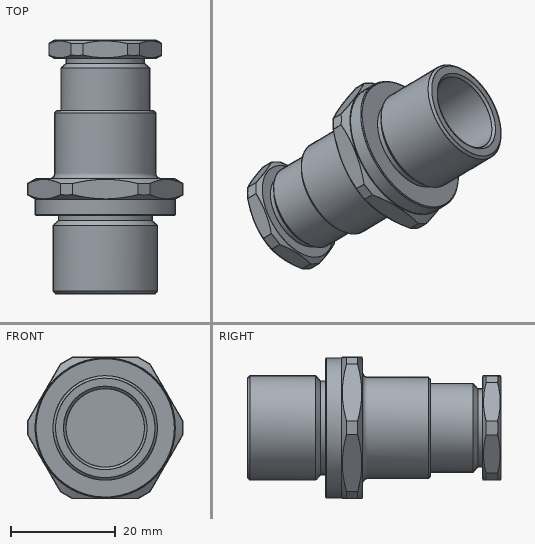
import cadquery as cq
import math

total_length = 48.5
thread_length = 13.05
thread_relief_end = 14.95
flange_end = 18.0
hex_end = 22.0
body_end = 35.0
rear_thread_end = 43.1
nut_start = 44.95
relief_cone = 0.9

thread_diameter = 20.0
thread_neck_diameter = 18.0
flange_diameter = 26.8
body_diameter = 19.4
rear_thread_diameter = 17.0
rear_neck_diameter = 15.0
bore_diameter = 15.0
bore_depth = hex_end

end_chamfer = 0.5
body_chamfer = 0.45
flange_chamfer = 0.2
body_flare = 0.95

hex_flats = 27.0
hex_corners = 29.7
hex_face_diameter = 26.5
nut_flats = 20.0
nut_corners = 21.55
nut_face_diameter = 19.4
hex_chamfer_angle = math.radians(30)


def hexagon_prism(flats, start, end):
    """Hexagon with flats facing +Z and -Z."""
    plane = cq.Workplane("XZ", origin=(0, start, 0))
    return plane.polygon(6, flats / math.cos(math.pi / 6)).extrude(start - end)


def chamfered_hexagon(flats, corners, face_diameter, start, end):
    """Hexagon with flattened corners and conical chamfers at both ends."""
    corner_cutter = hexagon_prism(corners, start, end).rotate((0, 0, 0), (0, 1, 0), 30)
    face_radius = face_diameter / 2
    outer_radius = flats / math.sqrt(3)
    drop = (outer_radius - face_radius) * math.tan(hex_chamfer_angle)
    cone_envelope = (
        cq.Workplane("XY")
        .moveTo(0, start)
        .lineTo(face_radius, start)
        .lineTo(outer_radius, start + drop)
        .lineTo(outer_radius, end - drop)
        .lineTo(face_radius, end)
        .lineTo(0, end)
        .close()
        .revolve(360, (0, 0, 0), (0, 1, 0))
    )
    return hexagon_prism(flats, start, end).intersect(corner_cutter).intersect(cone_envelope)


def turned_body():
    """All round sections, revolved as one profile about the Y axis."""
    thread = thread_diameter / 2
    neck = thread_neck_diameter / 2
    flange = flange_diameter / 2
    body = body_diameter / 2
    rear = rear_thread_diameter / 2
    rear_neck = rear_neck_diameter / 2
    arc_offset = body_flare * (1 - math.sqrt(0.5))
    return (
        cq.Workplane("XY")
        .moveTo(0, 0)
        .lineTo(thread - end_chamfer, 0)
        .lineTo(thread, end_chamfer)
        .lineTo(thread, thread_length)
        .lineTo(neck, thread_length + relief_cone)
        .lineTo(neck, thread_relief_end)
        .lineTo(flange - flange_chamfer, thread_relief_end)
        .lineTo(flange, thread_relief_end + flange_chamfer)
        .lineTo(flange, flange_end)
        .lineTo(body + body_flare, flange_end)
        .lineTo(body + body_flare, hex_end)
        .threePointArc((body + arc_offset, hex_end + arc_offset), (body, hex_end + body_flare))
        .lineTo(body, body_end - body_chamfer)
        .lineTo(body - body_chamfer, body_end)
        .lineTo(rear, body_end)
        .lineTo(rear, rear_thread_end)
        .lineTo(rear_neck, rear_thread_end + relief_cone)
        .lineTo(rear_neck, nut_start)
        .lineTo(0, nut_start)
        .close()
        .revolve(360, (0, 0, 0), (0, 1, 0))
    )


def bore():
    """Blind bore from the open end with a chamfered mouth."""
    radius = bore_diameter / 2
    return (
        cq.Workplane("XY")
        .moveTo(0, 0)
        .lineTo(radius + end_chamfer, 0)
        .lineTo(radius, end_chamfer)
        .lineTo(radius, bore_depth)
        .lineTo(0, bore_depth)
        .close()
        .revolve(360, (0, 0, 0), (0, 1, 0))
    )


large_hexagon = chamfered_hexagon(hex_flats, hex_corners, hex_face_diameter, flange_end, hex_end)
small_nut = chamfered_hexagon(nut_flats, nut_corners, nut_face_diameter, nut_start, total_length)

result = turned_body().union(large_hexagon).union(small_nut).cut(bore())